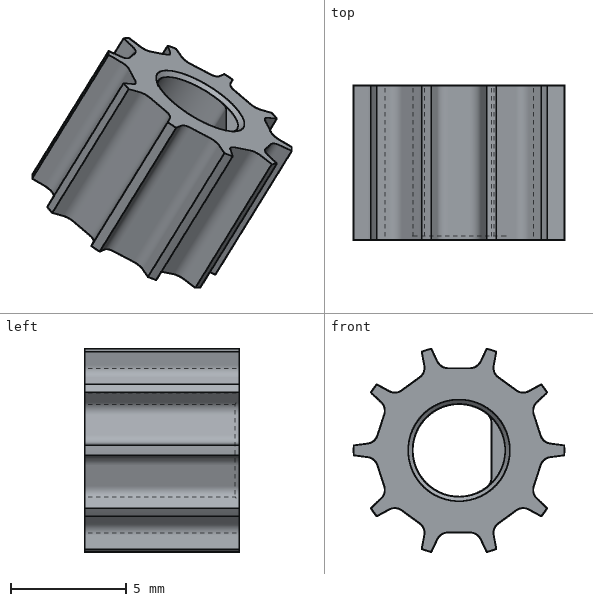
import cadquery as cq
import math

tooth_count = 10
tip_radius = 4.57
width = 6.7
root_apothem = 3.565
tip_half_width = 0.22
flank_angle = 7.5
root_fillet = 0.5

bore_radius = 2.0
bore_flat = 1.4
bore_corner_radius = 0.5
mouth_chamfer = 0.2

pitch = 360 / tooth_count
front_y = -width / 2
tip_along = math.sqrt(tip_radius**2 - tip_half_width**2)


def polar_offset(along, across, angle):
    """Point at distances along and across a spoke at the given angle in degrees."""
    a = math.radians(angle)
    return (
        along * math.cos(a) - across * math.sin(a),
        along * math.sin(a) + across * math.cos(a),
    )


def front_plane():
    """XZ plane on the -Y end face; its normal points toward -Y."""
    return cq.Workplane("XZ", origin=(0, front_y, 0))


def root_corner():
    """Distances along and across the tooth where its flank meets the root flat."""
    slope = math.tan(math.radians(flank_angle))
    half_pitch = math.radians(pitch / 2)
    half_width_at_centre = tip_half_width + tip_along * slope
    along = (root_apothem - half_width_at_centre * math.sin(half_pitch)) / (
        math.cos(half_pitch) - slope * math.sin(half_pitch)
    )
    return along, half_width_at_centre - slope * along


def make_toothed_body():
    root_along, root_half_width = root_corner()
    profile = front_plane().moveTo(root_along, -root_half_width)
    for i in range(tooth_count):
        angle = i * pitch
        if i > 0:
            profile = profile.lineTo(*polar_offset(root_along, -root_half_width, angle))
        profile = profile.lineTo(*polar_offset(tip_along, -tip_half_width, angle))
        profile = profile.threePointArc(
            polar_offset(tip_radius, 0, angle),
            polar_offset(tip_along, tip_half_width, angle),
        )
        profile = profile.lineTo(*polar_offset(root_along, root_half_width, angle))
    body = profile.close().extrude(-width)
    root_radius = math.hypot(root_along, root_half_width)
    root_limit = (root_radius + tip_radius) / 2
    root_edges = [
        edge for edge in body.edges("|Y").vals()
        if math.hypot(edge.Center().x, edge.Center().z) < root_limit
    ]
    return body.newObject(root_edges).fillet(root_fillet)


def make_bore():
    chord_half = math.sqrt(bore_radius**2 - bore_flat**2)
    bore = (
        front_plane()
        .moveTo(bore_flat, chord_half)
        .threePointArc((-bore_radius, 0), (bore_flat, -chord_half))
        .close()
        .extrude(-width)
        .edges("|Y")
        .fillet(bore_corner_radius)
    )
    mouth = (
        front_plane()
        .circle(bore_radius + mouth_chamfer)
        .workplane(offset=-mouth_chamfer)
        .circle(bore_radius)
        .loft()
    )
    return bore.union(mouth)


result = make_toothed_body().cut(make_bore())